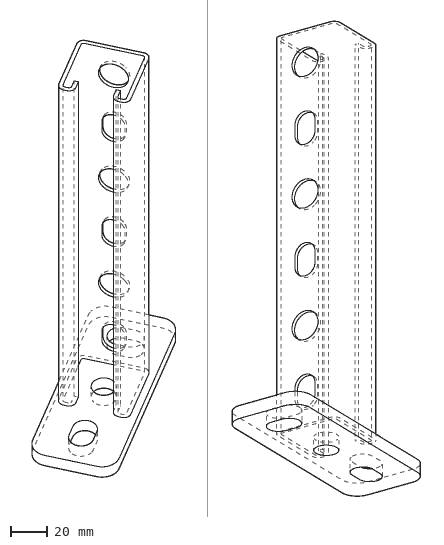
import cadquery as cq

total_height = 248.0

plate_width = 50.0
plate_length = 125.0
plate_thickness = 8.0
plate_corner_radius = 10.0
plate_hole_diameter = 14.0
plate_slot_length = 20.8
cross_slot_y = 41.5
long_slot_y = -39.2

channel_size = 41.7
wall = 2.5
bend_radius = 4.0
inner_bend_radius = bend_radius - wall
lip_width = 10.0
lip_height = 8.7
channel_height = total_height - plate_thickness

back_hole_diameter = 17.4
back_slot_width = 13.5
back_slot_length = 20.0
perforation_pairs = 3
perforation_pitch = 40.0
top_hole_depth = 20.0


def make_plate():
    """Rounded plate with a centre hole, a crosswise slot and a lengthwise slot."""
    plate = (
        cq.Workplane("XY")
        .rect(plate_width, plate_length)
        .extrude(plate_thickness)
        .edges("|Z")
        .fillet(plate_corner_radius)
    )
    openings = (
        cq.Workplane("XY")
        .circle(plate_hole_diameter / 2)
        .extrude(plate_thickness)
    )
    for slot_y, angle in ((cross_slot_y, 0), (long_slot_y, 90)):
        slot = (
            cq.Workplane("XY")
            .center(0, slot_y)
            .slot2D(plate_slot_length, plate_hole_diameter, angle)
            .extrude(plate_thickness)
        )
        openings = openings.union(slot)
    return plate.cut(openings)


def channel_outline():
    """Closed outline of the lipped C section: one half, mirrored about the YZ plane."""
    half = channel_size / 2
    inside = half - wall
    lip_outer_x = half - lip_width
    lip_inner_x = lip_outer_x + wall
    lip_end_y = lip_height - half
    return (
        cq.Workplane("XY", origin=(0, 0, plate_thickness))
        .moveTo(0, half)
        .lineTo(half - bend_radius, half)
        .radiusArc((half, half - bend_radius), bend_radius)
        .lineTo(half, bend_radius - half)
        .radiusArc((half - bend_radius, -half), bend_radius)
        .lineTo(lip_outer_x + bend_radius, -half)
        .radiusArc((lip_outer_x, bend_radius - half), bend_radius)
        .lineTo(lip_outer_x, lip_end_y)
        .lineTo(lip_inner_x, lip_end_y)
        .lineTo(lip_inner_x, inner_bend_radius - inside)
        .radiusArc((lip_inner_x + inner_bend_radius, -inside), -inner_bend_radius)
        .lineTo(inside - inner_bend_radius, -inside)
        .radiusArc((inside, inner_bend_radius - inside), -inner_bend_radius)
        .lineTo(inside, inside - inner_bend_radius)
        .radiusArc((inside - inner_bend_radius, inside), -inner_bend_radius)
        .lineTo(0, inside)
        .mirrorY()
    )


def back_wall_plane(z):
    """Workplane on the outer face of the back wall, facing -Y, at height z."""
    return cq.Workplane("XZ", origin=(0, channel_size / 2, z))


def make_channel():
    """Lipped channel with holes and slots alternating down its back wall."""
    channel = channel_outline().extrude(channel_height)
    for pair in range(perforation_pairs):
        hole_z = total_height - top_hole_depth - 2 * pair * perforation_pitch
        slot_z = hole_z - perforation_pitch
        hole = back_wall_plane(hole_z).circle(back_hole_diameter / 2).extrude(wall)
        slot = back_wall_plane(slot_z).slot2D(back_slot_length, back_slot_width, 90).extrude(wall)
        channel = channel.cut(hole).cut(slot)
    return channel


plate = make_plate()
channel = make_channel()
result = cq.Compound.makeCompound([plate.val(), channel.val()])